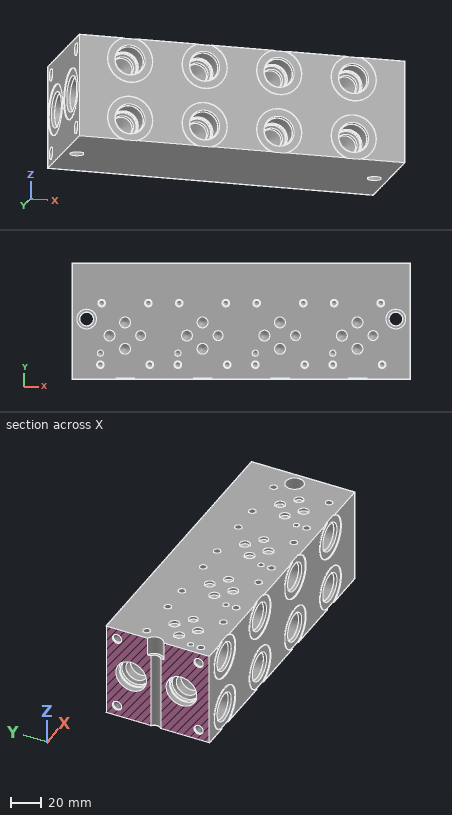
import cadquery as cq
import math

LENGTH = 222.2
DEPTH = 76.2
HEIGHT = 69.8

DRILL_TIP_HALF_ANGLE = math.radians(59)
OVERSHOOT = 2.2

STATION_COUNT = 4
STATION_PITCH = 51.0
STATION_X = [LENGTH / 2 + (i - (STATION_COUNT - 1) / 2) * STATION_PITCH for i in range(STATION_COUNT)]

TOP_FACE = ((0, 0, 1), (1, 0, 0))
FRONT_FACE = ((0, -1, 0), (1, 0, 0))
LEFT_FACE = ((-1, 0, 0), (0, 1, 0))

WORK_PORT_Z_SPACING = 40.5
WORK_SPOTFACE_DIAMETER = 30.7
WORK_SEAL_DIAMETER = 20.5
WORK_SEAT_DIAMETER = 19.3
WORK_THREAD_DIAMETER = 19.1
WORK_MINOR_DIAMETER = 17.5
WORK_DRILL_DIAMETER = 14.2
WORK_THREAD_DEPTH = 14.5
WORK_MINOR_DEPTH = 16.7
WORK_DRILL_DEPTH = 21.1

SUPPLY_PORT_Y = (20.7, 57.8)
SUPPLY_SPOTFACE_DIAMETER = 34.2
SUPPLY_SEAL_DIAMETER = 24.0
SUPPLY_SEAT_DIAMETER = 22.5
SUPPLY_THREAD_DIAMETER = 22.2
SUPPLY_MINOR_DIAMETER = 20.5
SUPPLY_DRILL_DIAMETER = 15.8
SUPPLY_THREAD_DEPTH = 16.7
SUPPLY_MINOR_DEPTH = 19.0
SUPPLY_DRILL_DEPTH = 26.7

SPOTFACE_DEPTH = 0.7
SEAL_DEPTH = 2.7

CORNER_INSET = 8.0
CORNER_THREAD_DIAMETER = 8.0
CORNER_DRILL_DIAMETER = 6.5
CORNER_THREAD_DEPTH = 11.1
CORNER_DRILL_DEPTH = 13.3

MOUNT_INSET = 9.5
MOUNT_Y = 39.5
MOUNT_DIAMETER = 9.0
MOUNT_COUNTERBORE_DIAMETER = 13.0
MOUNT_COUNTERBORE_DEPTH = 13.3

VALVE_Y = 28.7
VALVE_PORT_X_OFFSET = 10.2
VALVE_PORT_Y_OFFSET = 8.7
VALVE_PORT_DIAMETER = 7.1
SMALL_VALVE_PORT_DIAMETER = 6.5
VALVE_PORT_DEPTH = 2.2
BACK_BOLT_OFFSET = 15.3
BACK_BOLT_Y = 50.0
FRONT_BOLT_OFFSET = 16.2
FRONT_BOLT_Y = 9.5
BOLT_THREAD_DIAMETER = 5.0
BOLT_DRILL_DIAMETER = 3.8
BOLT_THREAD_DEPTH = 11.1
BOLT_DRILL_DEPTH = 13.3
PIN_Y = 17.1
PIN_DIAMETER = 4.0
PIN_DEPTH = 4.5


def drill_tip(diameter, depth):
    """Apex point of the drill cone that closes a hole of the given full-diameter depth."""
    return (0, depth + diameter / 2 / math.tan(DRILL_TIP_HALF_ANGLE))


def hole_cutter(face, position, profile):
    """Revolve (diameter, depth) steps about the inward axis at a position on a face."""
    outward, across = (cq.Vector(*direction) for direction in face)
    plane = cq.Plane(position, across, across.cross(outward))
    points = [(diameter / 2, -depth) for diameter, depth in profile]
    outline = [(0, OVERSHOOT), (points[0][0], OVERSHOOT)] + points
    return cq.Workplane(plane).polyline(outline).close().revolve(360, (0, 0), (0, 1)).val()


def plain_hole(diameter, depth):
    """Blind drilled hole with a conical end."""
    return [(diameter, depth), drill_tip(diameter, depth)]


def tapped_hole(thread, drill, thread_depth, drill_depth):
    """Thread at its major diameter, followed by the deeper tapping drill."""
    return [(thread, thread_depth), (drill, thread_depth)] + plain_hole(drill, drill_depth)


def threaded_port(spotface, seal, seat, thread, minor, drill, thread_depth, minor_depth, drill_depth):
    """Spotface, tapered seal seat, threaded bore with a conical end, and a smaller drill beyond it."""
    cone_depth = (minor - drill) / 2 / math.tan(DRILL_TIP_HALF_ANGLE)
    return [
        (spotface, SPOTFACE_DEPTH),
        (seal, SPOTFACE_DEPTH),
        (seat, SEAL_DEPTH),
        (thread, SEAL_DEPTH),
        (thread, thread_depth),
        (minor, thread_depth),
        (minor, minor_depth),
        (drill, minor_depth + cone_depth),
    ] + plain_hole(drill, drill_depth)


def work_ports():
    profile = threaded_port(
        spotface=WORK_SPOTFACE_DIAMETER,
        seal=WORK_SEAL_DIAMETER,
        seat=WORK_SEAT_DIAMETER,
        thread=WORK_THREAD_DIAMETER,
        minor=WORK_MINOR_DIAMETER,
        drill=WORK_DRILL_DIAMETER,
        thread_depth=WORK_THREAD_DEPTH,
        minor_depth=WORK_MINOR_DEPTH,
        drill_depth=WORK_DRILL_DEPTH,
    )
    return [
        hole_cutter(FRONT_FACE, (x, 0, HEIGHT / 2 + side * WORK_PORT_Z_SPACING / 2), profile)
        for x in STATION_X
        for side in (-1, 1)
    ]


def supply_ports():
    profile = threaded_port(
        spotface=SUPPLY_SPOTFACE_DIAMETER,
        seal=SUPPLY_SEAL_DIAMETER,
        seat=SUPPLY_SEAT_DIAMETER,
        thread=SUPPLY_THREAD_DIAMETER,
        minor=SUPPLY_MINOR_DIAMETER,
        drill=SUPPLY_DRILL_DIAMETER,
        thread_depth=SUPPLY_THREAD_DEPTH,
        minor_depth=SUPPLY_MINOR_DEPTH,
        drill_depth=SUPPLY_DRILL_DEPTH,
    )
    return [hole_cutter(LEFT_FACE, (0, y, HEIGHT / 2), profile) for y in SUPPLY_PORT_Y]


def corner_holes():
    profile = tapped_hole(
        CORNER_THREAD_DIAMETER, CORNER_DRILL_DIAMETER, CORNER_THREAD_DEPTH, CORNER_DRILL_DEPTH
    )
    return [
        hole_cutter(LEFT_FACE, (0, y, z), profile)
        for y in (CORNER_INSET, DEPTH - CORNER_INSET)
        for z in (CORNER_INSET, HEIGHT - CORNER_INSET)
    ]


def mounting_holes():
    profile = [
        (MOUNT_COUNTERBORE_DIAMETER, MOUNT_COUNTERBORE_DEPTH),
        (MOUNT_DIAMETER, MOUNT_COUNTERBORE_DEPTH),
        (MOUNT_DIAMETER, HEIGHT + OVERSHOOT),
        (0, HEIGHT + OVERSHOOT),
    ]
    return [hole_cutter(TOP_FACE, (x, MOUNT_Y, HEIGHT), profile) for x in (MOUNT_INSET, LENGTH - MOUNT_INSET)]


def valve_station(x):
    """Four flow ports in a diamond, four bolt holes and a locating-pin hole."""
    port = plain_hole(VALVE_PORT_DIAMETER, VALVE_PORT_DEPTH)
    small_port = plain_hole(SMALL_VALVE_PORT_DIAMETER, VALVE_PORT_DEPTH)
    bolt = tapped_hole(BOLT_THREAD_DIAMETER, BOLT_DRILL_DIAMETER, BOLT_THREAD_DEPTH, BOLT_DRILL_DEPTH)
    pin = plain_hole(PIN_DIAMETER, PIN_DEPTH)
    holes = [
        (0, VALVE_Y + VALVE_PORT_Y_OFFSET, port),
        (0, VALVE_Y - VALVE_PORT_Y_OFFSET, port),
        (-VALVE_PORT_X_OFFSET, VALVE_Y, port),
        (VALVE_PORT_X_OFFSET, VALVE_Y, small_port),
        (-BACK_BOLT_OFFSET, BACK_BOLT_Y, bolt),
        (BACK_BOLT_OFFSET, BACK_BOLT_Y, bolt),
        (-FRONT_BOLT_OFFSET, FRONT_BOLT_Y, bolt),
        (FRONT_BOLT_OFFSET, FRONT_BOLT_Y, bolt),
        (-FRONT_BOLT_OFFSET, PIN_Y, pin),
    ]
    return [hole_cutter(TOP_FACE, (x + offset, y, HEIGHT), profile) for offset, y, profile in holes]


block = cq.Workplane("XY").box(LENGTH, DEPTH, HEIGHT, centered=False)
cutters = work_ports() + supply_ports() + corner_holes() + mounting_holes()
for station_x in STATION_X:
    cutters += valve_station(station_x)

result = cq.Workplane("XY").newObject([block.val().cut(*cutters)])